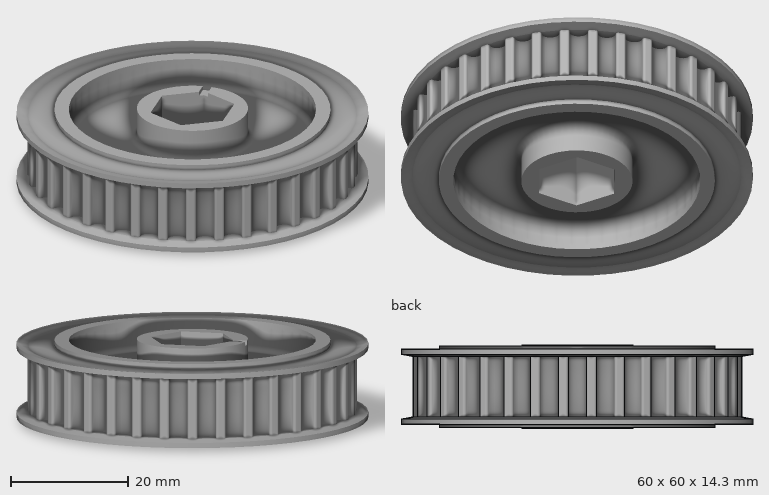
import cadquery as cq
import math

FLANGE_RADIUS = 30.0
OVERALL_HEIGHT = 14.3
HALF_HEIGHT = OVERALL_HEIGHT / 2

TOOTH_COUNT = 36
TOOTH_TIP_RADIUS = 28.1
TOOTH_HALF_WIDTH = 5.15
GROOVE_DEPTH = 2.05
GROOVE_HALF_WIDTH = 1.55
GROOVE_FLOOR_RADIUS = 1.8
GROOVE_FLOOR_HALF_WIDTH = 1.15
GROOVE_LIP_RADIUS = 0.4
CUT_CLEARANCE = 0.6

RING_OUTER_RADIUS = 23.5
RING_INNER_RADIUS = 21.05
RING_HALF_HEIGHT = 6.95

WEB_HALF_THICKNESS = 1.7
WEB_FILLET_RADIUS = 1.0
BOSS_RADIUS = 9.5

HEX_ACROSS_FLATS = 12.8
HEX_TURN_ANGLE = 30.0
HEX_ACROSS_CORNERS = HEX_ACROSS_FLATS / math.cos(math.pi / 6)
NOTCH_WIDTH = 1.55
NOTCH_DEPTH = 0.7

FLANGE_THICKNESS = 0.9
FLANGE_BEND_RADIUS = 28.0
FLANGE_RISE = 0.35


def make_blank():
    """Rim cylinder with the flange rings and the boss standing out at both ends."""
    rim = cq.Workplane("XY").circle(TOOTH_TIP_RADIUS).extrude(TOOTH_HALF_WIDTH, both=True)
    rings = cq.Workplane("XY").circle(RING_OUTER_RADIUS).extrude(RING_HALF_HEIGHT, both=True)
    boss = cq.Workplane("XY").circle(BOSS_RADIUS).extrude(HALF_HEIGHT, both=True)
    return rim.union(rings).union(boss)


def make_recess():
    """Annular recess above the web, rounded where its walls meet the floor."""
    return (
        cq.Workplane("XY", origin=(0, 0, WEB_HALF_THICKNESS))
        .circle(RING_INNER_RADIUS)
        .circle(BOSS_RADIUS)
        .extrude(HALF_HEIGHT)
        .faces("<Z")
        .edges()
        .fillet(WEB_FILLET_RADIUS)
    )


def make_groove():
    """Cutter for the tooth groove on +X: round floor, tighter corners, straight sides, round lips."""
    floor_x = TOOTH_TIP_RADIUS - GROOVE_DEPTH

    floor_angle = math.asin(GROOVE_FLOOR_HALF_WIDTH / GROOVE_FLOOR_RADIUS)
    floor_end_x = floor_x + GROOVE_FLOOR_RADIUS * (1 - math.cos(floor_angle))
    corner_radius = (GROOVE_HALF_WIDTH - GROOVE_FLOOR_HALF_WIDTH) / (1 - math.sin(floor_angle))
    corner_center_x = floor_end_x + corner_radius * math.cos(floor_angle)
    corner_center_y = GROOVE_HALF_WIDTH - corner_radius
    corner_middle_angle = (floor_angle + math.pi / 2) / 2
    corner_middle_x = corner_center_x - corner_radius * math.cos(corner_middle_angle)
    corner_middle_y = corner_center_y + corner_radius * math.sin(corner_middle_angle)

    lip_center_radius = TOOTH_TIP_RADIUS - GROOVE_LIP_RADIUS
    lip_center_y = GROOVE_HALF_WIDTH + GROOVE_LIP_RADIUS
    lip_angle = math.asin(lip_center_y / lip_center_radius)
    lip_center_x = lip_center_radius * math.cos(lip_angle)
    lip_end_x = TOOTH_TIP_RADIUS * math.cos(lip_angle)
    lip_end_y = TOOTH_TIP_RADIUS * math.sin(lip_angle)
    lip_middle_angle = (lip_angle - math.pi / 2) / 2
    lip_middle_x = lip_center_x + GROOVE_LIP_RADIUS * math.cos(lip_middle_angle)
    lip_middle_y = lip_center_y + GROOVE_LIP_RADIUS * math.sin(lip_middle_angle)

    outside_x = TOOTH_TIP_RADIUS + CUT_CLEARANCE
    return (
        cq.Workplane("XY")
        .moveTo(outside_x, lip_end_y)
        .lineTo(lip_end_x, lip_end_y)
        .threePointArc((lip_middle_x, lip_middle_y), (lip_center_x, GROOVE_HALF_WIDTH))
        .lineTo(corner_center_x, GROOVE_HALF_WIDTH)
        .threePointArc((corner_middle_x, corner_middle_y), (floor_end_x, GROOVE_FLOOR_HALF_WIDTH))
        .threePointArc((floor_x, 0), (floor_end_x, -GROOVE_FLOOR_HALF_WIDTH))
        .threePointArc((corner_middle_x, -corner_middle_y), (corner_center_x, -GROOVE_HALF_WIDTH))
        .lineTo(lip_center_x, -GROOVE_HALF_WIDTH)
        .threePointArc((lip_middle_x, -lip_middle_y), (lip_end_x, -lip_end_y))
        .lineTo(outside_x, -lip_end_y)
        .close()
        .extrude(TOOTH_HALF_WIDTH, both=True)
    )


def cut_grooves(body):
    """Cut the tooth grooves, evenly spaced around Z."""
    groove = make_groove().val()
    pitch_angle = 360 / TOOTH_COUNT
    grooves = [
        groove.rotate(cq.Vector(0, 0, 0), cq.Vector(0, 0, 1), index * pitch_angle)
        for index in range(TOOTH_COUNT)
    ]
    return body.cut(cq.Workplane("XY").newObject([cq.Compound.makeCompound(grooves)]))


def make_hex_bore():
    """Hexagonal through bore with corners on the +Y and -Y sides."""
    return (
        cq.Workplane("XY")
        .polygon(6, HEX_ACROSS_CORNERS)
        .extrude(HALF_HEIGHT, both=True)
        .rotate((0, 0, 0), (0, 0, 1), HEX_TURN_ANGLE)
    )


def make_notch():
    """Shallow radial notch across the top face of the boss, at the +Y corner of the bore."""
    return (
        cq.Workplane("XY", origin=(0, 0, HALF_HEIGHT - NOTCH_DEPTH))
        .box(NOTCH_WIDTH, BOSS_RADIUS, NOTCH_DEPTH, centered=(True, False, False))
    )


def make_pulley():
    """Toothed pulley with a recess on each side of the web."""
    recess = make_recess()
    body = make_blank().cut(recess).cut(recess.mirror("XY"))
    body = cut_grooves(body)
    return body.cut(make_hex_bore()).cut(make_notch())


def make_flange():
    """Upper flange, seated on the end of the teeth around its ring."""
    inner_bottom = TOOTH_HALF_WIDTH
    inner_top = inner_bottom + FLANGE_THICKNESS
    return (
        cq.Workplane("XZ")
        .moveTo(RING_OUTER_RADIUS, inner_bottom)
        .lineTo(FLANGE_BEND_RADIUS, inner_bottom)
        .lineTo(FLANGE_RADIUS, inner_bottom + FLANGE_RISE)
        .lineTo(FLANGE_RADIUS, inner_top + FLANGE_RISE)
        .lineTo(FLANGE_BEND_RADIUS, inner_top)
        .lineTo(RING_OUTER_RADIUS, inner_top)
        .close()
        .revolve(360, (0, 0, 0), (0, 1, 0))
    )


pulley = make_pulley()
upper_flange = make_flange()
flanges = [upper_flange, upper_flange.mirror("XY")]

result = cq.Compound.makeCompound([pulley.val(), *[flange.val() for flange in flanges]])